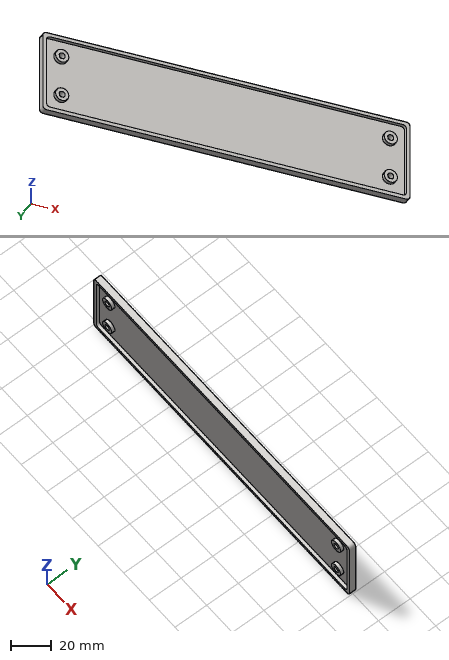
import cadquery as cq

length = 199.6
thickness = 4.0
height = 44.5
corner_radius = 2.0

rim_width = 2.0
recess_depth = 2.0
recess_corner_radius = 2.0

boss_diameter = 7.2
hole_diameter = 3.2
boss_spacing_x = 178.6
boss_spacing_z = 22.2

front_y = -thickness / 2


def rounded_block(size_x, size_z, start_y, depth, radius):
    """Block extending from start_y toward +Y, with rounded corners in the XZ plane."""
    return (
        cq.Workplane("XZ", origin=(0, start_y, 0))
        .rect(size_x, size_z)
        .extrude(-depth)
        .edges("|Y")
        .fillet(radius)
    )


def cylinders_at_bosses(diameter, depth):
    """Four cylinders running from the front face toward +Y."""
    return (
        cq.Workplane("XZ", origin=(0, front_y, 0))
        .rect(boss_spacing_x, boss_spacing_z, forConstruction=True)
        .vertices()
        .circle(diameter / 2)
        .extrude(-depth)
    )


plate = rounded_block(length, height, front_y, thickness, corner_radius)
recess = rounded_block(
    length - 2 * rim_width,
    height - 2 * rim_width,
    front_y,
    recess_depth,
    recess_corner_radius,
)
bosses = cylinders_at_bosses(boss_diameter, recess_depth)
holes = cylinders_at_bosses(hole_diameter, thickness)

result = plate.cut(recess).union(bosses).cut(holes)